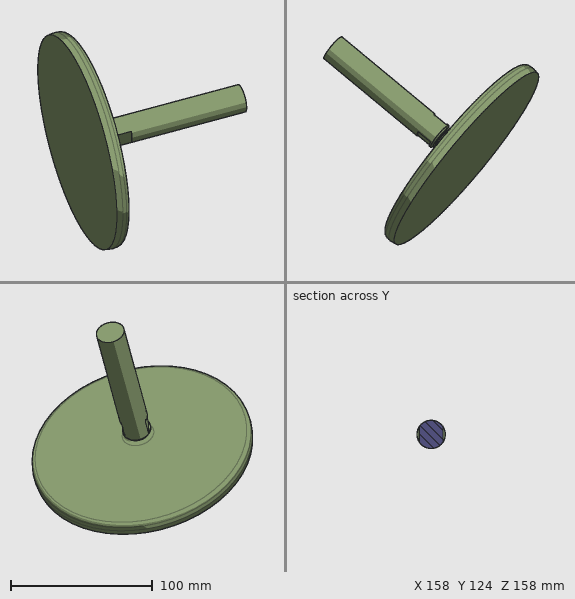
import cadquery as cq
import math

base_radius = 79.0
bottom_radius = 78.4
top_rim_radius = 78.7
widest_height = 4.3
rim_height = 7.3
rim_rounding = 2.7
cone_top_radius = 11.4
cone_top_height = 20.7
flare_middle_radius = 9.6
flare_middle_height = 21.3
collar_waist_radius = 8.4
collar_waist_height = 22.5
collar_lip_radius = 8.8
collar_height = 23.4

stem_radius = 20.0 / 2
stem_end = 124.0
stem_start = 24.8
neck_radius = 7.1
neck_fillet = 0.8
flats_width = 16.9
flats_start = 26.2
flats_end = 37.6


def revolve_about_y(profile):
    return profile.close().revolve(360, (0, 0, 0), (0, 1, 0))


def make_base():
    round_centre_radius = top_rim_radius - rim_rounding
    round_middle = (
        round_centre_radius + rim_rounding * math.cos(math.pi / 4),
        rim_height + rim_rounding * math.sin(math.pi / 4),
    )
    round_end = (round_centre_radius, rim_height + rim_rounding)
    profile = (
        cq.Workplane("XY")
        .lineTo(bottom_radius, 0)
        .lineTo(base_radius, widest_height)
        .lineTo(top_rim_radius, rim_height)
        .threePointArc(round_middle, round_end)
        .lineTo(cone_top_radius, cone_top_height)
        .threePointArc(
            (flare_middle_radius, flare_middle_height),
            (collar_waist_radius, collar_waist_height),
        )
        .lineTo(collar_lip_radius, collar_height)
        .lineTo(0, collar_height)
    )
    return revolve_about_y(profile)


def make_stem():
    fillet_top_radius = neck_radius + neck_fillet
    fillet_bottom = stem_start - neck_fillet
    fillet_middle = (
        fillet_top_radius - neck_fillet * math.cos(math.pi / 4),
        fillet_bottom + neck_fillet * math.sin(math.pi / 4),
    )
    profile = (
        cq.Workplane("XY")
        .moveTo(0, collar_height)
        .lineTo(neck_radius, collar_height)
        .lineTo(neck_radius, fillet_bottom)
        .threePointArc(fillet_middle, (fillet_top_radius, stem_start))
        .lineTo(stem_radius, stem_start)
        .lineTo(stem_radius, stem_end)
        .lineTo(0, stem_end)
    )
    stem = revolve_about_y(profile)
    flats_length = flats_end - flats_start
    flat_depth = stem_radius - flats_width / 2
    for side in (-1, 1):
        flat_cut = cq.Workplane("XY").box(flat_depth, flats_length, 2 * stem_radius)
        flat_centre = side * (flats_width + flat_depth) / 2
        stem = stem.cut(flat_cut.translate((flat_centre, (flats_start + flats_end) / 2, 0)))
    return stem


base = make_base()
stem = make_stem()

result = cq.Compound.makeCompound([base.val(), stem.val()])